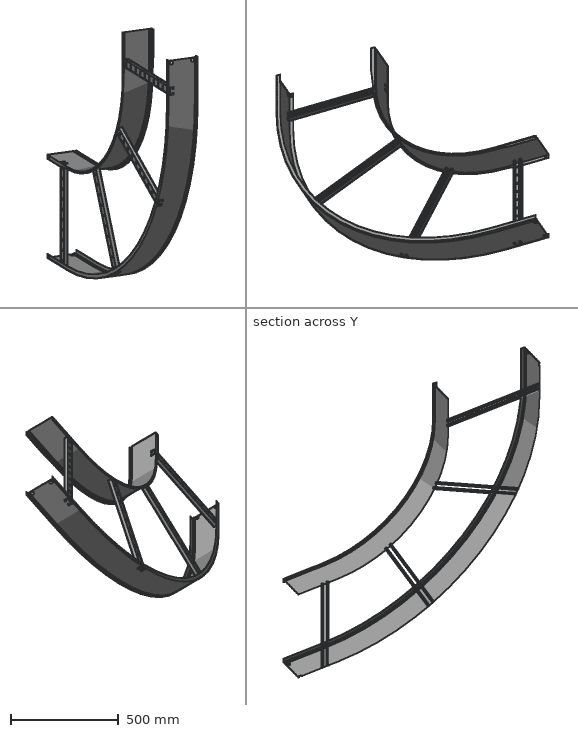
import cadquery as cq
import math


size = 1318.0
straight = 217.0
tray_width = 501.0
bend_x = straight
bend_z = size - straight
outer_radius = size - straight
inner_radius = outer_radius - tray_width

rail_depth = 150.0
sheet = 2.0
flange = 20.0
bead_low = rail_depth - 16.0
bead_tip = rail_depth - 10.0
bead_high = rail_depth - 5.0
bead_height = 4.0
bend_flange = 10.0
taper_length = 85.0

flange_hole_diameter = 9.0
inner_hole_inset = 10.0
outer_hole_inset = 8.0
flange_hole_distance = 15.0
web_hole_diameter = 16.0
web_hole_distance = 12.0
web_hole_front = 16.0
web_hole_back = 26.0

rung_width = 37.0
rung_front = 7.0
rung_depth = 21.0
rung_back = rung_front + rung_depth
lip_width = 9.0
lip_hook = 7.0
end_rung_distance = 149.0
bend_rung_angles = (27.5, 62.5)
slot_count = 10
slot_span = 447.0
slot_pitch = slot_span / (slot_count - 1)
slot_length = 16.0
slot_width = 7.0


def plan_point(radius, degrees):
    """Point (x, z) at a radius and an angle below +X, about the bend centre."""
    angle = math.radians(degrees)
    return bend_x + radius * math.cos(angle), bend_z - radius * math.sin(angle)


def make_rail(radius, side):
    """C-section rail; side is +1 for flanges away from the bend centre, -1 for towards it."""
    web_x = bend_x + radius
    section = [
        (0, 0),
        (flange, 0),
        (flange, sheet),
        (sheet, sheet),
        (sheet, bead_low),
        (sheet + bead_height, bead_tip),
        (sheet, bead_high),
        (sheet, rail_depth - sheet),
        (flange, rail_depth - sheet),
        (flange, rail_depth),
        (0, rail_depth),
        (0, bead_high),
        (bead_height, bead_tip),
        (0, bead_low),
    ]
    path = (
        cq.Workplane("XZ")
        .moveTo(web_x, size)
        .lineTo(web_x, bend_z)
        .threePointArc(plan_point(radius, 45), (bend_x, bend_z - radius))
        .lineTo(0, bend_z - radius)
    )
    return (
        cq.Workplane("XY", origin=(0, 0, size))
        .polyline([(web_x + side * inset, y) for inset, y in section])
        .close()
        .sweep(path)
    )


def narrowing_cutter():
    """Removes the outer part of the inner rail's flanges around the bend, with tapered ends."""
    full = inner_radius + flange
    narrow = inner_radius + bend_flange
    clear = full + flange
    return (
        cq.Workplane("XZ")
        .moveTo(bend_x + full, bend_z + taper_length)
        .lineTo(bend_x + narrow, bend_z)
        .threePointArc(plan_point(narrow, 45), (bend_x, bend_z - narrow))
        .lineTo(bend_x - taper_length, bend_z - full)
        .lineTo(bend_x, bend_z - clear)
        .threePointArc(plan_point(clear, 45), (bend_x + clear, bend_z))
        .close()
        .extrude(-rail_depth)
    )


def flange_hole_cutter(offset):
    """One hole in the front flange at each end of a rail, offset from the bend centre."""
    centres = [
        (bend_x + offset, size - flange_hole_distance),
        (flange_hole_distance, bend_z - offset),
    ]
    return (
        cq.Workplane("XZ")
        .pushPoints(centres)
        .circle(flange_hole_diameter / 2)
        .extrude(-2 * sheet)
    )


def web_hole_cutter():
    """Two holes through the outer web at each end of the outer rail."""
    heights = (web_hole_front, rail_depth - web_hole_back)
    upper = (
        cq.Workplane("YZ", origin=(size, 0, 0))
        .pushPoints([(y, size - web_hole_distance) for y in heights])
        .circle(web_hole_diameter / 2)
        .extrude(-2 * sheet)
    )
    lower = (
        cq.Workplane("XY")
        .pushPoints([(web_hole_distance, y) for y in heights])
        .circle(web_hole_diameter / 2)
        .extrude(2 * sheet)
    )
    return upper.union(lower)


def make_rung():
    """Lipped channel along +X, centred on the X axis, reaching the outer faces of both webs."""
    half = rung_width / 2
    lip_edge = half - lip_width
    half_section = [
        (half, rung_front),
        (half, rung_back),
        (lip_edge, rung_back),
        (lip_edge, rung_back - lip_hook),
        (lip_edge + sheet, rung_back - lip_hook),
        (lip_edge + sheet, rung_back - sheet),
        (half - sheet, rung_back - sheet),
        (half - sheet, rung_front + sheet),
    ]
    other_half = [(-z, y) for z, y in reversed(half_section)]
    channel = (
        cq.Workplane("YZ", origin=(inner_radius, 0, 0))
        .polyline([(y, z) for z, y in half_section + other_half])
        .close()
        .extrude(tray_width)
    )
    slots = (
        cq.Workplane("XZ", origin=(0, rung_front, 0))
        .center(inner_radius + tray_width / 2, 0)
        .rarray(slot_pitch, 13, slot_count, 1)
        .rect(slot_width, slot_length)
        .extrude(-sheet)
    )
    return channel.cut(slots)


def place_rungs():
    """The two end rungs square to the rails, and the bend rungs along radii."""
    end_shift = straight - end_rung_distance
    y_axis = cq.Vector(0, 1, 0)
    origin = cq.Vector(0, 0, 0)
    placements = [(0.0, 0.0, end_shift), (90.0, -end_shift, 0.0)]
    placements += [(angle, 0.0, 0.0) for angle in bend_rung_angles]
    return [
        make_rung()
        .rotate(origin, y_axis, angle)
        .translate((bend_x + shift_x, 0, bend_z + shift_z))
        for angle, shift_x, shift_z in placements
    ]


rungs = place_rungs()

inner_rail = (
    make_rail(inner_radius, 1)
    .cut(narrowing_cutter())
    .cut(flange_hole_cutter(inner_radius + inner_hole_inset))
)
outer_rail = (
    make_rail(outer_radius, -1)
    .cut(flange_hole_cutter(outer_radius - outer_hole_inset))
    .cut(web_hole_cutter())
)

for rung in rungs:
    inner_rail = inner_rail.cut(rung)
    outer_rail = outer_rail.cut(rung)

result = cq.Compound.makeCompound(
    [inner_rail.val(), outer_rail.val(), *[rung.val() for rung in rungs]]
)